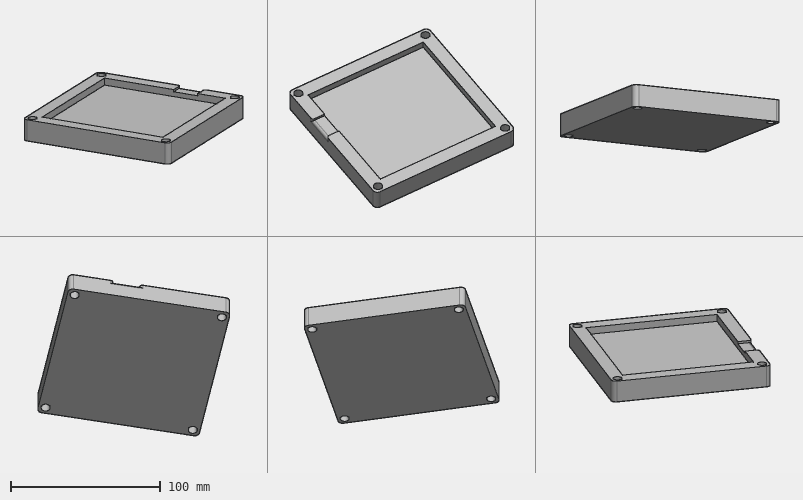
import cadquery as cq
import math

side = 110.0
height = 15.0
corner_radius = 3.3

pocket_side = 90.6
pocket_depth = 5.0

hole_diameter = 6.0
hole_inset = 5.0

notch_width = 18.0
notch_center_x = 15.6
notch_depth = 1.5
mouth_radius = 2.0

half_side = side / 2
pocket_edge = pocket_side / 2
notch_floor = height - notch_depth


def make_plate():
    plate = cq.Workplane("XY").box(side, side, height, centered=(True, True, False))
    return plate.edges("|Z").fillet(corner_radius)


def make_pocket():
    pocket = cq.Workplane("XY").workplane(offset=height - pocket_depth)
    return pocket.rect(pocket_side, pocket_side).extrude(pocket_depth)


def make_corner_holes():
    spacing = side - 2 * hole_inset
    holes = cq.Workplane("XY").rect(spacing, spacing, forConstruction=True).vertices()
    return holes.circle(hole_diameter / 2).extrude(height)


def make_notch():
    """Straight channel whose outer end opens with rounded side and floor edges."""
    half_width = notch_width / 2
    flared_half_width = half_width + mouth_radius
    inner_y = half_side - mouth_radius
    mouth_bottom = notch_floor - mouth_radius

    arc_offset = mouth_radius * (1 - math.cos(math.pi / 4))

    plan = (
        cq.Workplane("XY")
        .workplane(offset=mouth_bottom)
        .center(notch_center_x, 0)
        .moveTo(-half_width, pocket_edge)
        .lineTo(half_width, pocket_edge)
        .lineTo(half_width, inner_y)
        .threePointArc((half_width + arc_offset, half_side - arc_offset), (flared_half_width, half_side))
        .lineTo(-flared_half_width, half_side)
        .threePointArc((-half_width - arc_offset, half_side - arc_offset), (-half_width, inner_y))
        .close()
        .extrude(height - mouth_bottom)
    )
    side_profile = (
        cq.Workplane("YZ")
        .moveTo(pocket_edge, height)
        .lineTo(pocket_edge, notch_floor)
        .lineTo(inner_y, notch_floor)
        .threePointArc((half_side - arc_offset, notch_floor - arc_offset), (half_side, mouth_bottom))
        .lineTo(half_side, height)
        .close()
        .extrude(half_side, both=True)
    )
    return plan.intersect(side_profile)


result = make_plate().cut(make_pocket()).cut(make_corner_holes()).cut(make_notch())